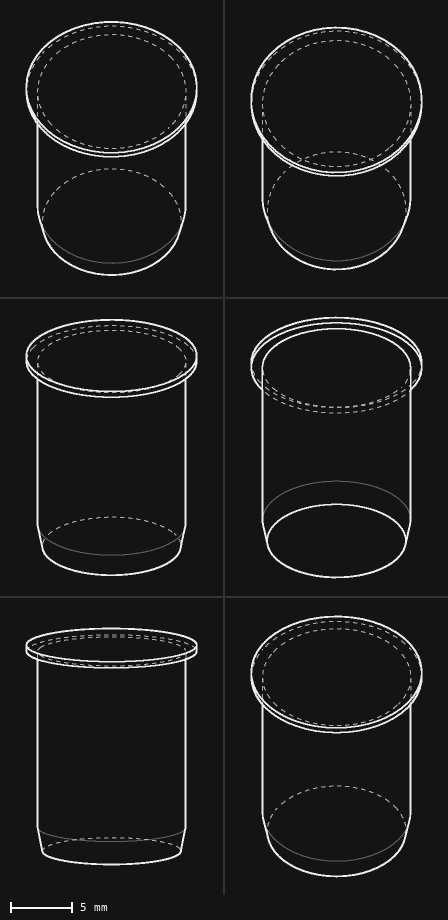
import cadquery as cq

total_height = 17.5
head_diameter = 13.8
body_diameter = 12.0
tip_diameter = 11.24
tip_height = 2.0
rim_thickness = 0.5
dome_height = 0.5

head_radius = head_diameter / 2
body_radius = body_diameter / 2
tip_radius = tip_diameter / 2
rim_top = total_height - dome_height
rim_bottom = rim_top - rim_thickness

dome_radius = (head_radius**2 + dome_height**2) / (2 * dome_height)
arc_mid_x = head_radius / 2
arc_mid_z = total_height - dome_radius + (dome_radius**2 - arc_mid_x**2) ** 0.5

half_section = (
    cq.Workplane("XZ")
    .lineTo(tip_radius, 0)
    .lineTo(body_radius, tip_height)
    .lineTo(body_radius, rim_bottom)
    .lineTo(head_radius, rim_bottom)
    .lineTo(head_radius, rim_top)
    .threePointArc((arc_mid_x, arc_mid_z), (0, total_height))
    .close()
)

result = half_section.revolve(360, (0, 0, 0), (0, 1, 0))